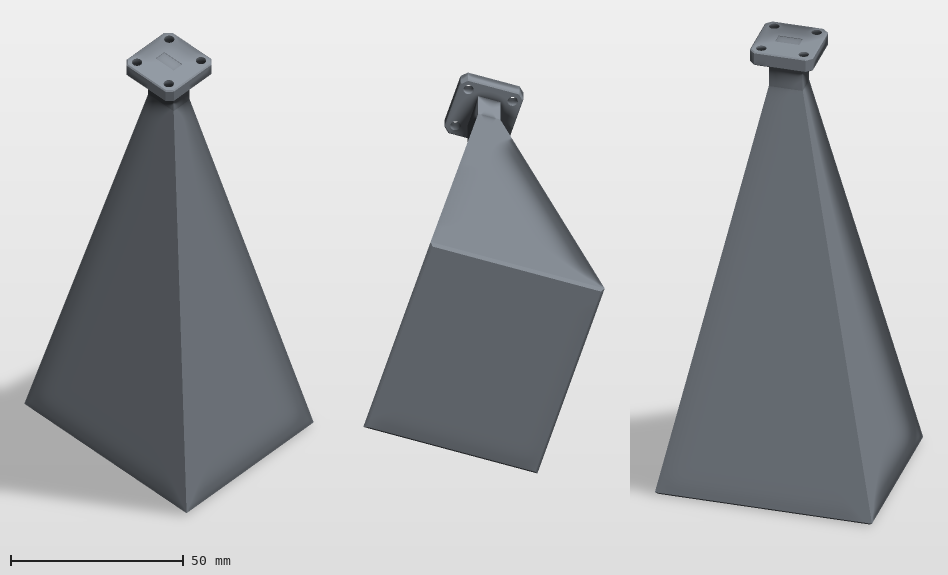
import cadquery as cq

total_height = 142.5
mouth_x = 65.5
mouth_y = 52.9
mouth_chamfer = 0.9

flange_side = 19.1
flange_thickness = 4.4
flange_corner_cut = 1.7
flange_edge_chamfer = 0.35
hole_diameter = 3.0
hole_spacing_x = 12.8
hole_spacing_y = 13.4

neck_x = 10.3
neck_y = 6.7
neck_bottom = 128.2

window_x = 7.3
window_y = 3.5
window_depth = 0.1

flange_bottom = total_height - flange_thickness


def make_horn():
    """Tapered pyramid with a chamfered rim around its mouth."""
    pyramid = (
        cq.Workplane("XY")
        .workplane(offset=mouth_chamfer)
        .rect(mouth_x, mouth_y)
        .workplane(offset=neck_bottom - mouth_chamfer)
        .rect(neck_x, neck_y)
        .loft(ruled=True)
    )
    rim = (
        cq.Workplane("XY")
        .rect(mouth_x - 2 * mouth_chamfer, mouth_y - 2 * mouth_chamfer)
        .workplane(offset=mouth_chamfer)
        .rect(mouth_x, mouth_y)
        .loft(ruled=True)
    )
    return pyramid.union(rim)


def make_neck():
    """Rectangular tube body between the horn and the flange."""
    return (
        cq.Workplane("XY")
        .workplane(offset=neck_bottom)
        .rect(neck_x, neck_y)
        .extrude(flange_bottom - neck_bottom)
    )


def make_flange():
    """Square plate with cut corners, beveled edges and four through holes."""
    plate = (
        cq.Workplane("XY")
        .workplane(offset=flange_bottom)
        .rect(flange_side, flange_side)
        .extrude(flange_thickness)
        .edges("|Z")
        .chamfer(flange_corner_cut)
        .faces("<Z or >Z")
        .edges()
        .chamfer(flange_edge_chamfer)
    )
    holes = (
        cq.Workplane("XY")
        .workplane(offset=flange_bottom)
        .rect(hole_spacing_x, hole_spacing_y, forConstruction=True)
        .vertices()
        .circle(hole_diameter / 2)
        .extrude(flange_thickness)
    )
    return plate.cut(holes)


def make_window():
    """Rectangular recess cutter at the flange face."""
    return (
        cq.Workplane("XY")
        .workplane(offset=total_height - window_depth)
        .rect(window_x, window_y)
        .extrude(window_depth)
    )


result = make_horn().union(make_neck()).union(make_flange()).cut(make_window())